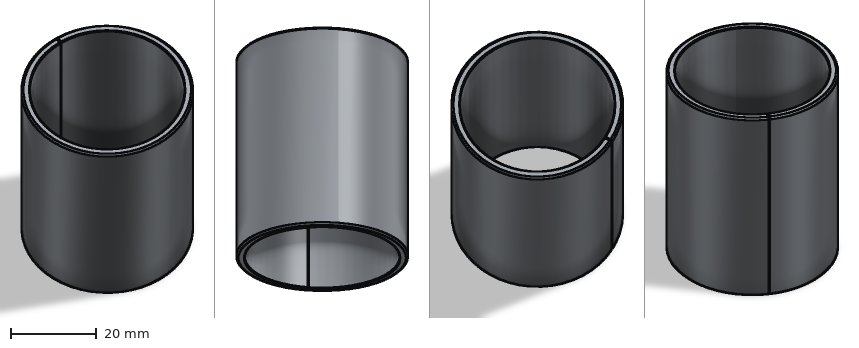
import cadquery as cq

length = 50.0
outer_diameter = 40.0
wall = 2.0
outer_chamfer = 0.5
inner_chamfer = 0.2
seam_width = 0.35

outer_radius = outer_diameter / 2
inner_radius = outer_radius - wall
half_length = length / 2


def sleeve():
    """Revolve the wall section, with its chamfered end corners, around Z."""
    section = [
        (inner_radius, -half_length + inner_chamfer),
        (inner_radius + inner_chamfer, -half_length),
        (outer_radius - outer_chamfer, -half_length),
        (outer_radius, -half_length + outer_chamfer),
        (outer_radius, half_length - outer_chamfer),
        (outer_radius - outer_chamfer, half_length),
        (inner_radius + inner_chamfer, half_length),
        (inner_radius, half_length - inner_chamfer),
    ]
    return cq.Workplane("XZ").polyline(section).close().revolve(360, (0, 0), (0, 1))


def seam():
    """Full-length slit cutter through the -X wall, with one face on the XZ plane."""
    cutter = cq.Workplane("XY").box(outer_radius, seam_width, length)
    return cutter.translate((-outer_radius, seam_width / 2, 0))


result = sleeve().cut(seam())